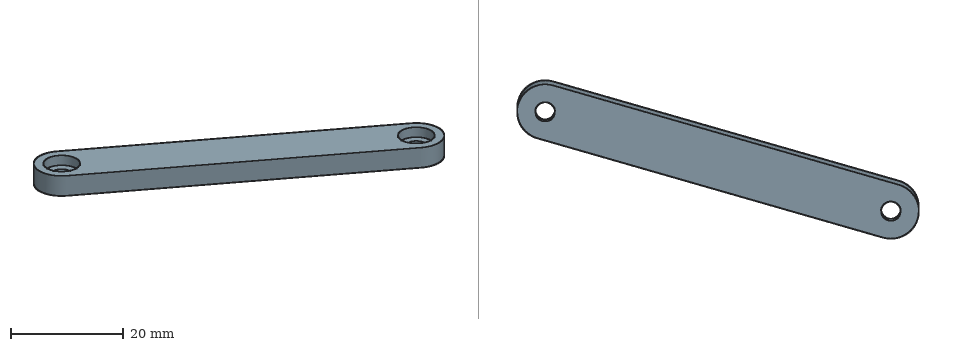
import cadquery as cq
import math

outer_x = 37.45
outer_y = 68.0
thickness = 4.0
bar_width = 10.0
hole_diameter = 3.5
counterbore_diameter = 6.5
counterbore_depth = 2.0

span_x = outer_x - bar_width
span_y = outer_y - bar_width
hole_distance = math.hypot(span_x, span_y)
tilt_angle = math.degrees(math.atan2(span_y, span_x))

bar = cq.Workplane("XY").slot2D(hole_distance + bar_width, bar_width).extrude(thickness)

hole_centers = [(side * hole_distance / 2, 0) for side in (-1, 1)]
bar = (
    bar.faces(">Z")
    .workplane(origin=(0, 0, thickness))
    .pushPoints(hole_centers)
    .cboreHole(hole_diameter, counterbore_diameter, counterbore_depth)
)

result = bar.rotate((0, 0, 0), (0, 0, 1), tilt_angle)